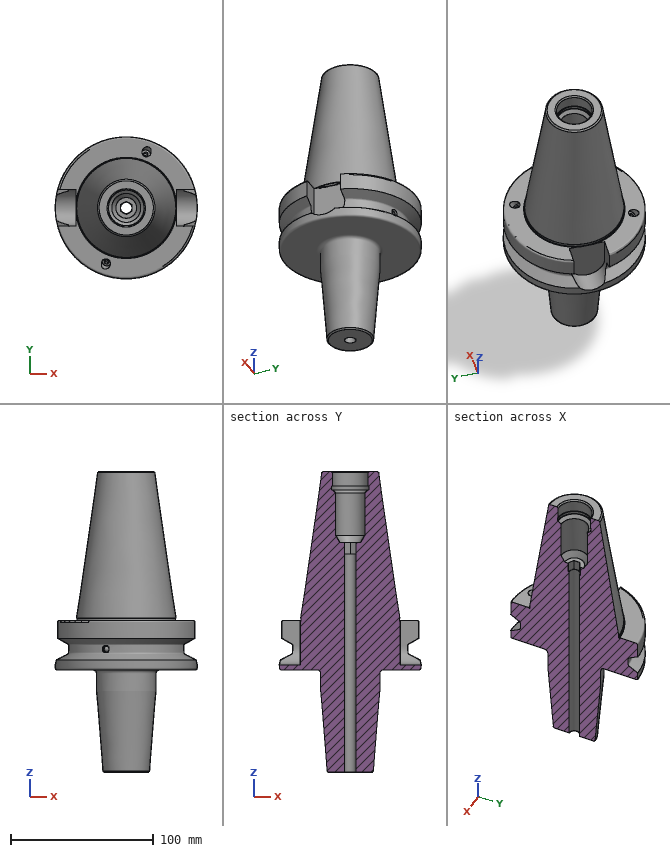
import math

import cadquery as cq


GAUGE_DIAMETER = 69.85
TAPER_RATIO = 7 / 24
SHANK_LENGTH = 101.8
SHANK_TIP_CHAMFER = 1.0

FLANGE_DIAMETER = 100.0
FLANGE_TOP_Z = -3.0
FLANGE_BOTTOM_Z = -38.0
FLANGE_TOP_FILLET = 1.5
FLANGE_BOTTOM_FILLET = 1.5
GROOVE_DIAMETER = 85.0
GROOVE_CENTER_Z = -23.3
GROOVE_FLOOR_WIDTH = 6.5
GROOVE_SIDE_ANGLE = 30.0
GROOVE_FILLET = 1.0

RELIEF_TOP_Z = -1.4
RELIEF_DEPTH = 0.3
RELIEF_WIDTH = 0.8
RELIEF_BOTTOM_Z = -3.5

NOSE_BOTTOM_Z = -110.0
NOSE_DIAMETER = 42.0
NOSE_TIP_DIAMETER = 33.0
NOSE_TAPER_START_Z = -52.8
NOSE_FILLET = 2.5
NOSE_TIP_CHAMFER = 1.0

BORE_RADIUS = 12.5
BORE_RIM_CHAMFER = 1.0
BORE_DEPTH = 13.0
BORE_UNDERCUT_RADIUS = 13.0
BORE_UNDERCUT_WIDTH = 2.5
THREAD_RADIUS = 10.2
THREAD_DEPTH = 45.0
BORE_FLOOR_RADIUS = 7.3
BORE_FLOOR_CONE_ANGLE = 60.0
BORE_SOCKET_WIDTH = 8.0
BORE_SOCKET_DEPTH = 8.0
THROUGH_DIAMETER = 8.0

SLOT_WIDTH = 25.7
SLOT_FLOOR_X = 35.3
SLOT_BOTTOM_Z = -34.4

COOLANT_ANGLE = 70.0
FACE_HOLE_RADIUS = 42.0
FACE_HOLE_TILT = 30.0
FACE_HOLE_DIAMETER = 6.3
FACE_HOLE_DEPTH = 3.2
FACE_SOCKET_WIDTH = 3.0
FACE_SOCKET_DEPTH = 2.5
GROOVE_HOLE_DIAMETER = 5.0
GROOVE_HOLE_DEPTH = 2.5
GROOVE_DOME_DIAMETER = 4.0


def revolve_profile(sketch):
    return sketch.close().revolve(360, (0, 0, 0), (0, 1, 0))


def fillet_midpoint_inset(radius):
    """Distance of a square corner fillet's midpoint from each of the two sides."""
    return radius * (1 - math.sqrt(0.5))


def hexagon_prism(plane, flat_width, depth):
    corner_diameter = flat_width / math.cos(math.pi / 6)
    return cq.Workplane(plane).polygon(6, corner_diameter).extrude(-depth)


def make_body():
    gauge_radius = GAUGE_DIAMETER / 2
    tip_radius = gauge_radius - SHANK_LENGTH * TAPER_RATIO / 2
    taper_end_radius = gauge_radius - RELIEF_TOP_Z * TAPER_RATIO / 2
    relief_radius = taper_end_radius - RELIEF_DEPTH
    flange_radius = FLANGE_DIAMETER / 2
    groove_radius = GROOVE_DIAMETER / 2
    groove_side = (flange_radius - groove_radius) * math.tan(math.radians(GROOVE_SIDE_ANGLE))
    groove_top = GROOVE_CENTER_Z + GROOVE_FLOOR_WIDTH / 2
    groove_bottom = GROOVE_CENTER_Z - GROOVE_FLOOR_WIDTH / 2
    nose_radius = NOSE_DIAMETER / 2
    nose_tip_radius = NOSE_TIP_DIAMETER / 2
    nose_fillet_mid = fillet_midpoint_inset(NOSE_FILLET)
    bottom_fillet_mid = fillet_midpoint_inset(FLANGE_BOTTOM_FILLET)
    top_fillet_mid = fillet_midpoint_inset(FLANGE_TOP_FILLET)
    body = revolve_profile(
        cq.Workplane("YZ")
        .moveTo(0, SHANK_LENGTH)
        .lineTo(tip_radius - SHANK_TIP_CHAMFER, SHANK_LENGTH)
        .lineTo(tip_radius + SHANK_TIP_CHAMFER * TAPER_RATIO / 2, SHANK_LENGTH - SHANK_TIP_CHAMFER)
        .lineTo(taper_end_radius, RELIEF_TOP_Z)
        .lineTo(relief_radius, RELIEF_TOP_Z - RELIEF_DEPTH)
        .lineTo(relief_radius, RELIEF_BOTTOM_Z)
        .lineTo(relief_radius + RELIEF_WIDTH, RELIEF_BOTTOM_Z)
        .lineTo(relief_radius + RELIEF_WIDTH, FLANGE_TOP_Z)
        .lineTo(flange_radius - FLANGE_TOP_FILLET, FLANGE_TOP_Z)
        .threePointArc(
            (flange_radius - top_fillet_mid, FLANGE_TOP_Z - top_fillet_mid),
            (flange_radius, FLANGE_TOP_Z - FLANGE_TOP_FILLET),
        )
        .lineTo(flange_radius, groove_top + groove_side)
        .lineTo(groove_radius, groove_top)
        .lineTo(groove_radius, groove_bottom)
        .lineTo(flange_radius, groove_bottom - groove_side)
        .lineTo(flange_radius, FLANGE_BOTTOM_Z + FLANGE_BOTTOM_FILLET)
        .threePointArc(
            (flange_radius - bottom_fillet_mid, FLANGE_BOTTOM_Z + bottom_fillet_mid),
            (flange_radius - FLANGE_BOTTOM_FILLET, FLANGE_BOTTOM_Z),
        )
        .lineTo(nose_radius + NOSE_FILLET, FLANGE_BOTTOM_Z)
        .threePointArc(
            (nose_radius + nose_fillet_mid, FLANGE_BOTTOM_Z - nose_fillet_mid),
            (nose_radius, FLANGE_BOTTOM_Z - NOSE_FILLET),
        )
        .lineTo(nose_radius, NOSE_TAPER_START_Z)
        .lineTo(nose_tip_radius, NOSE_BOTTOM_Z + NOSE_TIP_CHAMFER)
        .lineTo(nose_tip_radius - NOSE_TIP_CHAMFER, NOSE_BOTTOM_Z)
        .lineTo(0, NOSE_BOTTOM_Z)
    )
    groove_corners = body.edges("%CIRCLE").filter(lambda edge: math.isclose(edge.radius(), groove_radius))
    return groove_corners.fillet(GROOVE_FILLET)


def make_bore():
    step_z = SHANK_LENGTH - BORE_DEPTH
    thread_top_z = step_z - (BORE_RADIUS - THREAD_RADIUS)
    thread_end_z = SHANK_LENGTH - THREAD_DEPTH
    cone_slope = math.tan(math.radians(BORE_FLOOR_CONE_ANGLE))
    floor_z = thread_end_z - (THREAD_RADIUS - BORE_FLOOR_RADIUS) * cone_slope
    bore = revolve_profile(
        cq.Workplane("YZ")
        .moveTo(0, SHANK_LENGTH)
        .lineTo(BORE_RADIUS + BORE_RIM_CHAMFER, SHANK_LENGTH)
        .lineTo(BORE_RADIUS, SHANK_LENGTH - BORE_RIM_CHAMFER)
        .lineTo(BORE_RADIUS, step_z + BORE_UNDERCUT_WIDTH)
        .lineTo(BORE_UNDERCUT_RADIUS, step_z + BORE_UNDERCUT_WIDTH)
        .lineTo(BORE_UNDERCUT_RADIUS, step_z)
        .lineTo(BORE_RADIUS, step_z)
        .lineTo(THREAD_RADIUS, thread_top_z)
        .lineTo(THREAD_RADIUS, thread_end_z)
        .lineTo(BORE_FLOOR_RADIUS, floor_z)
        .lineTo(0, floor_z)
    )
    floor_plane = cq.Plane((0, 0, floor_z), xDir=(0, 1, 0), normal=(0, 0, 1))
    socket = hexagon_prism(floor_plane, BORE_SOCKET_WIDTH, BORE_SOCKET_DEPTH)
    through_hole = cq.Workplane(floor_plane).circle(THROUGH_DIAMETER / 2).extrude(NOSE_BOTTOM_Z - floor_z)
    return bore, socket, through_hole


def make_drive_slot():
    half_width = SLOT_WIDTH / 2
    arc_center_z = SLOT_BOTTOM_Z + half_width
    return (
        cq.Workplane("YZ", origin=(SLOT_FLOOR_X, 0, 0))
        .moveTo(-half_width, 0)
        .lineTo(-half_width, arc_center_z)
        .threePointArc((0, SLOT_BOTTOM_Z), (half_width, arc_center_z))
        .lineTo(half_width, 0)
        .close()
        .extrude(FLANGE_DIAMETER / 2)
    )


def make_face_hole():
    tilt = math.radians(FACE_HOLE_TILT)
    axis = cq.Vector(math.sin(tilt), 0, math.cos(tilt))
    mouth = cq.Vector(FACE_HOLE_RADIUS, 0, FLANGE_TOP_Z)
    floor_plane = cq.Plane(mouth - axis * FACE_HOLE_DEPTH, xDir=(0, 1, 0), normal=axis)
    hole_length = FACE_HOLE_DEPTH + FACE_HOLE_DIAMETER / 2
    hole = cq.Workplane(floor_plane).circle(FACE_HOLE_DIAMETER / 2).extrude(hole_length)
    return hole.union(hexagon_prism(floor_plane, FACE_SOCKET_WIDTH, FACE_SOCKET_DEPTH))


def make_groove_hole():
    floor_plane = cq.Workplane("YZ", origin=(GROOVE_DIAMETER / 2 - GROOVE_HOLE_DEPTH, 0, GROOVE_CENTER_Z))
    hole_length = GROOVE_HOLE_DEPTH + GROOVE_HOLE_DIAMETER / 2
    hole = floor_plane.circle(GROOVE_HOLE_DIAMETER / 2).extrude(hole_length)
    dome = floor_plane.sphere(GROOVE_DOME_DIAMETER / 2)
    return hole.cut(dome)


def turned(shape, angle):
    return shape.rotate((0, 0, 0), (0, 0, 1), angle)


result = make_body()
for bore_section in make_bore():
    result = result.cut(bore_section)
for side_angle in (0, 180):
    result = result.cut(turned(make_drive_slot(), side_angle))
    result = result.cut(turned(make_face_hole(), side_angle + COOLANT_ANGLE))
    result = result.cut(turned(make_groove_hole(), side_angle + COOLANT_ANGLE))